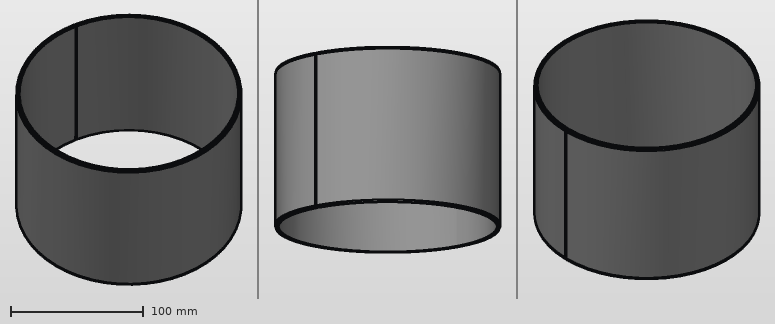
import cadquery as cq

outer_diameter = 170.0
wall = 2.5
height = 120.0
outer_chamfer_width = 0.6
outer_chamfer_height = 1.5
inner_chamfer = 0.42
slit_width = 1.5

outer_radius = outer_diameter / 2
inner_radius = outer_radius - wall


def make_sleeve():
    """Revolve the wall section, with both rims chamfered inside and outside."""
    half = height / 2
    section = [
        (inner_radius, -half + inner_chamfer),
        (inner_radius + inner_chamfer, -half),
        (outer_radius - outer_chamfer_width, -half),
        (outer_radius, -half + outer_chamfer_height),
        (outer_radius, half - outer_chamfer_height),
        (outer_radius - outer_chamfer_width, half),
        (inner_radius + inner_chamfer, half),
        (inner_radius, half - inner_chamfer),
    ]
    return cq.Workplane("XZ").polyline(section).close().revolve(360, (0, 0, 0), (0, 1, 0))


def make_slit():
    """Block that cuts through the wall on the -X side, with one face on the XZ plane."""
    block = cq.Workplane("XY").box(outer_diameter, slit_width, height, centered=(True, False, True))
    return block.translate((-outer_radius, 0, 0))


result = make_sleeve().cut(make_slit())